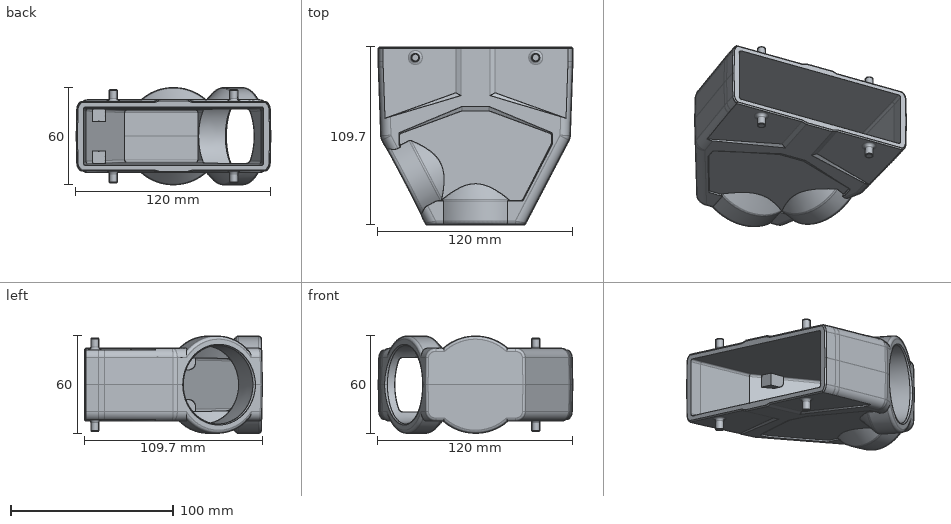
import cadquery as cq
import math

HALF_WIDTH = 60.0
HALF_HEIGHT = 22.5
LENGTH = 109.7
STRAIGHT_LENGTH = 8.7
BEND_RADIUS = 105.0
SHOULDER_HALF_WIDTH = 58.4
SHOULDER_Y = -56.0
FRONT_HALF_WIDTH = 30.4
DRAFT = 1.3
SHOULDER_RADIUS = 6.5
LONG_EDGE_RADIUS = 6.0
FRONT_EDGE_RADIUS = 2.0
OPEN_END_CHAMFER = 0.8

BOSS_RADIUS = 30.0
BOSS_DEPTH = 14.8
BOSS_BLEND_LENGTH = 1.15
BOSS_CONE_LENGTH = 17.0
BOSS_CONE_ANGLE = 40.0
BOSS_OVERHANG = 5.0
BOSS_RIM_RADIUS = 2.0

ENTRY_FROM_SHOULDER = 30.4
ENTRY_RIM_RADIUS = 25.3
ENTRY_RIM_DEPTH = 1.4
ENTRY_RADIUS = 24.2
ENTRY_INNER_RADIUS = 24.0
ENTRY_DEPTH = 20.0
ENTRY_CONE_LENGTH = 6.5
ENTRY_CONE_END_RADIUS = 16.0

CAVITY_OPEN_HALF_HEIGHT = 18.0
CAVITY_FRONT_HALF_HEIGHT = 16.0
FLANK_WALL = 4.5
OBLIQUE_WALL = 6.6
CAVITY_FRONT_Y = -96.0
CAVITY_EDGE_RADIUS = 1.5

LUG_X_RANGE = (42.0, 50.0)
LUG_REAR_Y = -57.0
LUG_FRONT_Y = -68.3
LUG_ROUND_START_Y = -63.2
LUG_CREST_Z = 9.2
LUG_NOSE_Z = 12.5
LUG_ROOT_Z = 17.5

PANEL_DEPTH = 1.0
PANEL_CORNER_RADIUS = 1.2

PIN_X = 37.1
PIN_Y = -6.4
PIN_RADIUS = 2.5
PIN_ROOT_Z = 20.0
PIN_TOP_Z = 28.7
PIN_CHAMFER = 0.4
PIN_FOOT_RADIUS = 4.6
PIN_FOOT_TOP_Z = 23.3


BEND_TO_SHOULDER_X = BEND_RADIUS + SHOULDER_HALF_WIDTH - HALF_WIDTH
BEND_TO_SHOULDER_Y = -STRAIGHT_LENGTH - SHOULDER_Y
FLANK_LEAN = math.atan2(BEND_TO_SHOULDER_Y, BEND_TO_SHOULDER_X) - math.acos(
    BEND_RADIUS / math.hypot(BEND_TO_SHOULDER_X, BEND_TO_SHOULDER_Y)
)

OBLIQUE_RUN_X = SHOULDER_HALF_WIDTH - FRONT_HALF_WIDTH
OBLIQUE_RUN_Y = LENGTH + SHOULDER_Y
OBLIQUE_LENGTH = math.hypot(OBLIQUE_RUN_X, OBLIQUE_RUN_Y)
OBLIQUE_SLOPE = OBLIQUE_RUN_X / OBLIQUE_RUN_Y
OBLIQUE_ALONG = cq.Vector(OBLIQUE_RUN_X / OBLIQUE_LENGTH, -OBLIQUE_RUN_Y / OBLIQUE_LENGTH, 0)
OBLIQUE_INWARD = cq.Vector(OBLIQUE_RUN_Y / OBLIQUE_LENGTH, OBLIQUE_RUN_X / OBLIQUE_LENGTH, 0)
OBLIQUE_CENTRE = cq.Vector(-SHOULDER_HALF_WIDTH, SHOULDER_Y, 0) + OBLIQUE_ALONG * ENTRY_FROM_SHOULDER
FRONT_INWARD = cq.Vector(0, 1, 0)
FRONT_CENTRE = cq.Vector(0, -LENGTH, 0)
OPEN_END_MARGIN = 5.0


def bend_point(angle):
    """Point of the flank bend where the flank leans by the given angle."""
    x = HALF_WIDTH - BEND_RADIUS * (1 - math.cos(angle))
    y = -STRAIGHT_LENGTH - BEND_RADIUS * math.sin(angle)
    return x, y


def mirrored(point):
    return -point[0], point[1]


def drafted_half(height):
    """Outline extruded upwards from z = 0, sides leaning inwards, open end kept square."""
    bend_start, bend_middle, bend_end = [
        bend_point(FLANK_LEAN * share) for share in (0, 0.5, 1)
    ]
    outline = (
        cq.Workplane("XY")
        .moveTo(HALF_WIDTH, OPEN_END_MARGIN)
        .lineTo(*bend_start)
        .threePointArc(bend_middle, bend_end)
        .lineTo(SHOULDER_HALF_WIDTH, SHOULDER_Y)
        .lineTo(FRONT_HALF_WIDTH, -LENGTH)
        .lineTo(-FRONT_HALF_WIDTH, -LENGTH)
        .lineTo(-SHOULDER_HALF_WIDTH, SHOULDER_Y)
        .lineTo(*mirrored(bend_end))
        .threePointArc(mirrored(bend_middle), mirrored(bend_start))
        .lineTo(-HALF_WIDTH, OPEN_END_MARGIN)
        .close()
    )
    block = outline.extrude(height, taper=DRAFT)
    beyond_open_end = cq.Workplane("XZ").rect(4 * HALF_WIDTH, 4 * height).extrude(-LENGTH)
    return block.cut(beyond_open_end)


def make_body():
    body = drafted_half(HALF_HEIGHT)
    reach = 3.0
    for side in (-1, 1):
        shoulder = cq.selectors.BoxSelector(
            (side * SHOULDER_HALF_WIDTH - reach, SHOULDER_Y - reach, 1),
            (side * SHOULDER_HALF_WIDTH + reach, SHOULDER_Y + reach, HALF_HEIGHT - 1),
        )
        body = body.edges(shoulder).fillet(SHOULDER_RADIUS)
    body = body.faces(">Z").edges("not |X").fillet(LONG_EDGE_RADIUS)
    return body.faces("<Y").edges("not(<Z)").fillet(FRONT_EDGE_RADIUS)


def polygon_at(z, points):
    return cq.Wire.makePolygon([cq.Vector(x, y, z) for x, y in points], close=True)


def panel_cutter(rim, floor):
    """Pocket with sloping walls between a rim and a floor of equally many corners."""
    top = polygon_at(HALF_HEIGHT, rim)
    bottom = polygon_at(HALF_HEIGHT - PANEL_DEPTH, floor)
    return cq.Workplane(cq.Solid.makeLoft([bottom, top], True))


def make_rear_panels():
    """Two panels beside the central rib, open towards the mating end and the flanks."""
    rim_x, rim_corner_y = 9.0, -29.8
    floor_x, floor_corner_y = 12.1, -28.1
    tip = (56.0, -43.9)
    outer_x = HALF_WIDTH + OPEN_END_MARGIN
    shared = [tip, (outer_x, tip[1]), (outer_x, OPEN_END_MARGIN)]
    rim = [(rim_x, OPEN_END_MARGIN), (rim_x, rim_corner_y)] + shared
    floor = [(floor_x, OPEN_END_MARGIN), (floor_x, floor_corner_y)] + shared
    right = panel_cutter(rim, floor)
    return right.union(right.mirror("YZ"))


def make_front_panel():
    """Closed panel between the ribs and the front face."""
    rim_side = [(8.4, -36.6), (47.3, -52.8), (47.3, -59.9), (29.2, -94.7)]
    floor_side = [(8.2, -39.2), (46.7, -53.4), (46.7, -59.6), (28.9, -94.4)]
    rim = rim_side + [mirrored(point) for point in reversed(rim_side)]
    floor = floor_side + [mirrored(point) for point in reversed(floor_side)]
    panel = panel_cutter(rim, floor)
    inner_x = 20.0
    for side in (-1, 1):
        corners = cq.selectors.BoxSelector(
            (side * inner_x, -LENGTH, 0), (side * HALF_WIDTH, 0, HALF_HEIGHT)
        )
        panel = panel.edges("not #Z").edges(corners).fillet(PANEL_CORNER_RADIUS)
    return panel


def axis_sketch(centre, inward):
    """Workplane with (radius, depth) coordinates about an entry axis."""
    up = cq.Vector(0, 0, 1)
    return cq.Workplane(cq.Plane(origin=centre, xDir=up, normal=up.cross(inward)))


def revolve_about_axis(profile):
    return profile.close().revolve(360, (0, 0, 0), (0, 1, 0))


def make_boss(centre, inward):
    """Upper half of a round boss, flush with the drafted face, fading inwards as a cone."""
    slope = math.radians(BOSS_CONE_ANGLE)
    blend_radius = BOSS_BLEND_LENGTH / math.sin(slope)

    def blend_point(angle):
        radius = BOSS_RADIUS - blend_radius * (1 - math.cos(angle))
        return radius, BOSS_DEPTH + blend_radius * math.sin(angle)

    cone_start_radius, cone_start = blend_point(slope)
    cone_end = cone_start + BOSS_CONE_LENGTH
    profile = (
        axis_sketch(centre, inward)
        .moveTo(0, -BOSS_OVERHANG)
        .lineTo(BOSS_RADIUS, -BOSS_OVERHANG)
        .lineTo(BOSS_RADIUS, BOSS_DEPTH)
        .threePointArc(blend_point(slope / 2), (cone_start_radius, cone_start))
        .lineTo(cone_start_radius - BOSS_CONE_LENGTH * math.tan(slope), cone_end)
        .lineTo(0, cone_end)
    )
    boss = revolve_about_axis(profile).intersect(drafted_half(BOSS_RADIUS + BOSS_OVERHANG))
    rim = boss.faces(cq.selectors.DirectionMinMaxSelector(inward, False)).edges("not(<Z)")
    return rim.fillet(BOSS_RIM_RADIUS)


def make_entry():
    """Chamfered and drafted bore with a conical inner end, running out into the cavity."""
    cone_end = ENTRY_DEPTH + ENTRY_CONE_LENGTH
    profile = [
        (0, -BOSS_OVERHANG),
        (ENTRY_RIM_RADIUS, -BOSS_OVERHANG),
        (ENTRY_RIM_RADIUS, 0),
        (ENTRY_RADIUS, ENTRY_RIM_DEPTH),
        (ENTRY_INNER_RADIUS, ENTRY_DEPTH),
        (ENTRY_CONE_END_RADIUS, cone_end),
        (0, cone_end),
    ]
    return revolve_about_axis(axis_sketch(OBLIQUE_CENTRE, OBLIQUE_INWARD).polyline(profile))


def make_cavity():
    """Upper half of the cavity, open towards the mating end."""
    rear_x = HALF_WIDTH - FLANK_WALL
    shoulder_x = SHOULDER_HALF_WIDTH - FLANK_WALL
    wall_along_x = OBLIQUE_WALL * OBLIQUE_LENGTH / OBLIQUE_RUN_Y
    wall_x_at_shoulder = SHOULDER_HALF_WIDTH - wall_along_x
    shoulder_y = SHOULDER_Y + (shoulder_x - wall_x_at_shoulder) / OBLIQUE_SLOPE
    front_x = wall_x_at_shoulder - (SHOULDER_Y - CAVITY_FRONT_Y) * OBLIQUE_SLOPE
    wall_step_outer = OBLIQUE_CENTRE + OBLIQUE_INWARD * OBLIQUE_WALL
    wall_step_inner = OBLIQUE_CENTRE + OBLIQUE_INWARD * ENTRY_DEPTH
    left_front_x = wall_step_inner.x + (wall_step_inner.y - CAVITY_FRONT_Y) * OBLIQUE_SLOPE
    outline = [
        (rear_x, OPEN_END_MARGIN),
        (rear_x, -STRAIGHT_LENGTH),
        (shoulder_x, shoulder_y),
        (front_x, CAVITY_FRONT_Y),
        (left_front_x, CAVITY_FRONT_Y),
        (wall_step_inner.x, wall_step_inner.y),
        (wall_step_outer.x, wall_step_outer.y),
        (-shoulder_x, shoulder_y),
        (-rear_x, -STRAIGHT_LENGTH),
        (-rear_x, OPEN_END_MARGIN),
    ]
    floor_slope = (CAVITY_OPEN_HALF_HEIGHT - CAVITY_FRONT_HALF_HEIGHT) / CAVITY_FRONT_Y
    side_section = [
        (OPEN_END_MARGIN, 0),
        (OPEN_END_MARGIN, CAVITY_OPEN_HALF_HEIGHT - floor_slope * OPEN_END_MARGIN),
        (CAVITY_FRONT_Y, CAVITY_FRONT_HALF_HEIGHT),
        (CAVITY_FRONT_Y, 0),
    ]
    cavity = cq.Workplane("XY").polyline(outline).close().extrude(HALF_HEIGHT)
    wedge = cq.Workplane("YZ").polyline(side_section).close().extrude(HALF_WIDTH, both=True)
    cavity = cavity.intersect(wedge)
    return cavity.faces(">Z").edges().fillet(CAVITY_EDGE_RADIUS)


def make_lug():
    """Round-nosed lug hanging from the cavity roof and merging into the right oblique wall."""
    nose_length = LUG_ROUND_START_Y - LUG_FRONT_Y
    nose_height = LUG_NOSE_Z - LUG_CREST_Z
    section = (
        cq.Workplane("YZ", origin=(LUG_X_RANGE[0], 0, 0))
        .moveTo(LUG_REAR_Y, LUG_ROOT_Z)
        .lineTo(LUG_REAR_Y, LUG_CREST_Z)
        .lineTo(LUG_ROUND_START_Y, LUG_CREST_Z)
        .threePointArc(
            (
                LUG_ROUND_START_Y - nose_length * math.sqrt(0.5),
                LUG_NOSE_Z - nose_height * math.sqrt(0.5),
            ),
            (LUG_FRONT_Y, LUG_NOSE_Z),
        )
        .lineTo(LUG_FRONT_Y, LUG_ROOT_Z)
        .close()
    )
    return section.extrude(LUG_X_RANGE[1] - LUG_X_RANGE[0])


def make_pin(x):
    """Locking pin standing on a flared foot."""
    floor_z = HALF_HEIGHT - PANEL_DEPTH
    flare = (PIN_FOOT_RADIUS - PIN_RADIUS, PIN_FOOT_TOP_Z - floor_z)
    bulge = 1 - math.sqrt(0.5)
    half_section = (
        cq.Workplane("XZ", origin=(x, PIN_Y, 0))
        .moveTo(0, PIN_ROOT_Z)
        .lineTo(PIN_FOOT_RADIUS, PIN_ROOT_Z)
        .lineTo(PIN_FOOT_RADIUS, floor_z)
        .threePointArc(
            (PIN_RADIUS + bulge * flare[0], floor_z + bulge * flare[1]),
            (PIN_RADIUS, PIN_FOOT_TOP_Z),
        )
        .lineTo(PIN_RADIUS, PIN_TOP_Z - PIN_CHAMFER)
        .lineTo(PIN_RADIUS - PIN_CHAMFER, PIN_TOP_Z)
        .lineTo(0, PIN_TOP_Z)
        .close()
    )
    return half_section.revolve(360, (0, 0, 0), (0, 1, 0))


upper_half = make_body().cut(make_rear_panels()).cut(make_front_panel())
upper_half = upper_half.faces(">Y").edges("not(<Z)").chamfer(OPEN_END_CHAMFER)
upper_half = upper_half.union(make_boss(FRONT_CENTRE, FRONT_INWARD))
upper_half = upper_half.union(make_boss(OBLIQUE_CENTRE, OBLIQUE_INWARD))
upper_half = upper_half.cut(make_cavity()).cut(make_entry())
upper_half = upper_half.union(make_lug())
for pin_x in (-PIN_X, PIN_X):
    upper_half = upper_half.union(make_pin(pin_x))

result = upper_half.union(upper_half.mirror("XY"))